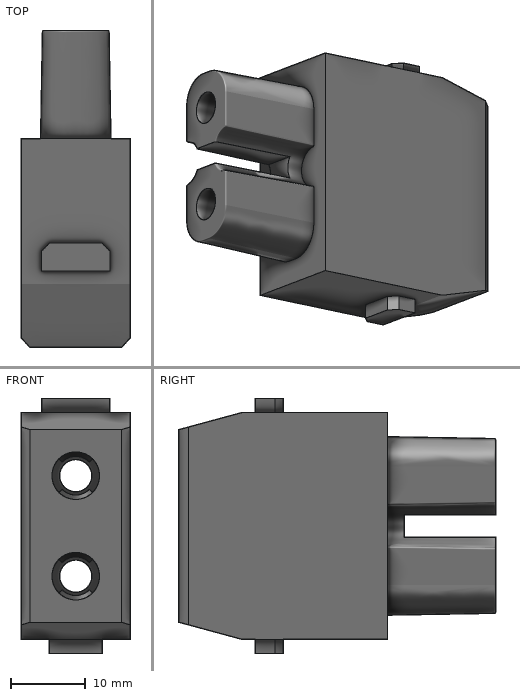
import cadquery as cq
import math

total_length = 42.5
total_height = 34.2
body_width = 14.6
body_height = 30.45
body_length = 28.0

slope_length = 8.45
slope_drop = 2.3
side_chamfer_width = 1.15
side_chamfer_length = 1.28

lug_height = (total_height - body_height) / 2
lug_start = 10.25
lug_length = 3.8
lug_chamfer = 1.1
top_lug_width = 9.2
bottom_lug_width = 7.15

plug_width = 9.48
plug_height = 23.95
plug_corner_radius = 4.05
plug_length = total_length - body_length
draft_angle = 1.0
tip_fillet = 0.2
prong_gap = 2.98
web_length = 2.25

groove_radius = 2.75
groove_centre_x = plug_width / 2
groove_edge_fillet = 0.25

cavity_spacing = 13.47
cavity_diameter = 6.38
cavity_depth = body_length
contact_hole_diameter = 4.3
ramp_inner_diameter = 5.2
ramp_length = 0.35
ramp_sector_angle = 90.0


def rear_facing_plane(y):
    """Plane at the given Y whose normal is +Y, local x along +X and local y along -Z."""
    return cq.Workplane(cq.Plane(origin=(0, y, 0), xDir=(1, 0, 0), normal=(0, 1, 0)))


def make_body():
    half_height = body_height / 2
    side_profile = (
        cq.Workplane("YZ")
        .moveTo(0, half_height - slope_drop)
        .lineTo(slope_length, half_height)
        .lineTo(body_length, half_height)
        .lineTo(body_length, -half_height)
        .lineTo(slope_length, -half_height)
        .lineTo(0, slope_drop - half_height)
        .close()
        .extrude(body_width / 2, both=True)
    )
    half_width = body_width / 2
    front_half_width = half_width - side_chamfer_width
    plan_profile = (
        cq.Workplane("XY")
        .moveTo(-front_half_width, 0)
        .lineTo(front_half_width, 0)
        .lineTo(half_width, side_chamfer_length)
        .lineTo(half_width, body_length)
        .lineTo(-half_width, body_length)
        .lineTo(-half_width, side_chamfer_length)
        .close()
        .extrude(half_height, both=True)
    )
    return side_profile.intersect(plan_profile)


def make_lug(width, base_z):
    """Lug with its two rear corners chamfered, rising from base_z."""
    return (
        cq.Workplane("XY", origin=(0, lug_start + lug_length / 2, base_z))
        .box(width, lug_length, lug_height, centered=(True, True, False))
        .edges("|Z and >Y")
        .chamfer(lug_chamfer)
    )


def make_plug():
    plug = (
        rear_facing_plane(body_length)
        .sketch()
        .rect(plug_width, plug_height)
        .vertices()
        .fillet(plug_corner_radius)
        .finalize()
        .extrude(plug_length, taper=draft_angle)
    )
    groove_tip_radius = groove_radius + plug_length * math.tan(math.radians(draft_angle))
    for side in (-1, 1):
        groove = cq.Solid.makeCone(
            groove_radius,
            groove_tip_radius,
            plug_length,
            pnt=cq.Vector(side * groove_centre_x, body_length, 0),
            dir=cq.Vector(0, 1, 0),
        )
        plug = plug.cut(cq.Workplane(groove))
    groove_edges = cq.selectors.BoxSelector(
        (-plug_width, body_length + tip_fillet, -plug_width / 2),
        (plug_width, total_length - tip_fillet, plug_width / 2),
    )
    plug = plug.edges(groove_edges).fillet(groove_edge_fillet)
    plug = plug.faces(">Y").edges().fillet(tip_fillet)
    gap = (
        rear_facing_plane(body_length + web_length)
        .rect(plug_width, prong_gap)
        .extrude(plug_length)
    )
    return plug.cut(gap)


def make_ramps(centre_z):
    """Conical ramps against the cavity wall, above and below the contact hole."""
    cavity_radius = cavity_diameter / 2
    ramp_inner_radius = ramp_inner_diameter / 2
    ramps = cq.Workplane("XY")
    for middle_angle in (90, 270):
        ramp = (
            cq.Workplane("XY")
            .moveTo(ramp_inner_radius, cavity_depth)
            .lineTo(cavity_radius, cavity_depth)
            .lineTo(cavity_radius, cavity_depth - ramp_length)
            .close()
            .revolve(ramp_sector_angle, (0, 0, 0), (0, 1, 0))
            .rotate((0, 0, 0), (0, 1, 0), middle_angle - ramp_sector_angle / 2)
            .translate((0, 0, centre_z))
        )
        ramps = ramps.add(ramp)
    return ramps.combine()


def make_cavity(centre_z):
    """Contact cavity with a smaller hole running on through the prong."""
    cavity = rear_facing_plane(0).center(0, -centre_z).circle(cavity_diameter / 2).extrude(cavity_depth)
    hole = (
        rear_facing_plane(0)
        .center(0, -centre_z)
        .circle(contact_hole_diameter / 2)
        .extrude(total_length)
    )
    return cavity.cut(make_ramps(centre_z)).union(hole)


result = make_body().union(make_plug())
result = result.union(make_lug(top_lug_width, body_height / 2))
result = result.union(make_lug(bottom_lug_width, -body_height / 2 - lug_height))
for cavity_z in (-cavity_spacing / 2, cavity_spacing / 2):
    result = result.cut(make_cavity(cavity_z))